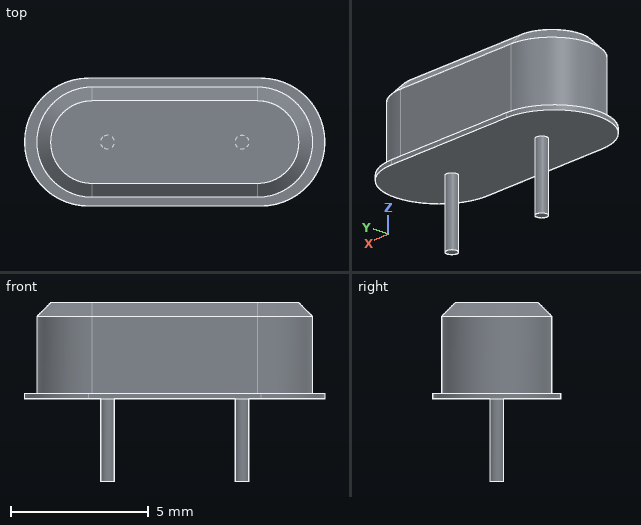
import cadquery as cq

flange_length = 10.9
flange_width = 4.65
flange_thickness = 0.2

can_length = 10.0
can_width = 4.0
can_top = 3.5
can_chamfer = 0.5

pin_diameter = 0.5
pin_length = 3.0
pin_spacing = 4.88


def obround(length, width, bottom, top):
    """Upright obround prism, centred on the Z axis, long side along X."""
    return cq.Workplane("XY").workplane(offset=bottom).slot2D(length, width).extrude(top - bottom)


def make_can():
    can = obround(can_length, can_width, flange_thickness, can_top)
    return can.faces(">Z").chamfer(can_chamfer)


def make_pins():
    pin_centres = [(-pin_spacing / 2, 0), (pin_spacing / 2, 0)]
    return cq.Workplane("XY").pushPoints(pin_centres).circle(pin_diameter / 2).extrude(-pin_length)


flange = obround(flange_length, flange_width, 0, flange_thickness)
result = flange.union(make_can()).union(make_pins())